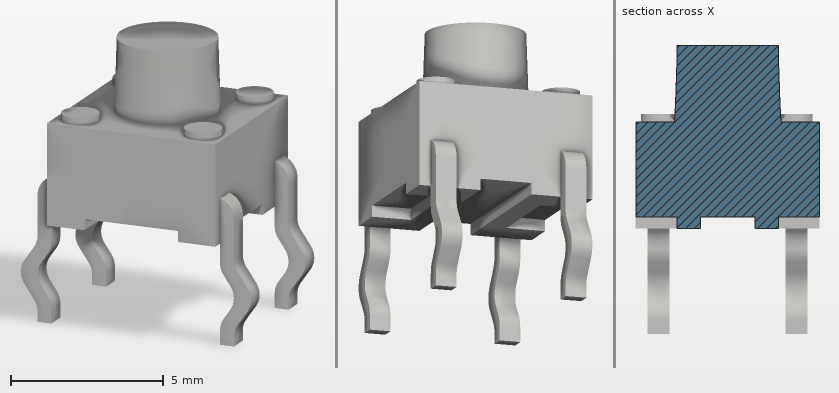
import cadquery as cq
import math


body_side = 6.0
body_height = 3.5
body_bottom = 3.46
body_top = body_bottom + body_height
recess_depth = 0.38
slot_width = 1.78
notch_width = 3.33
foot_side = (body_side - notch_width) / 2

overall_height = 9.45
button_height = overall_height - body_top
button_base_diameter = 3.5
button_top_diameter = 3.33

rivet_diameter = 1.26
rivet_height = 0.25
rivet_x = 2.15
rivet_y = 2.2
rivet_count = 4

leg_pitch = 4.5
leg_width = 0.72
leg_thickness = 0.5
leg_bend_radius = 0.7
leg_top = 5.04
leg_root_depth = 0.945
kink_height = 1.64
kink_half_length = 1.0
kink_offset = 0.7


def make_body():
    """Box whose underside has a slot through along X and a notch in each Y side."""
    body = cq.Workplane("XY", origin=(0, 0, body_bottom)).box(
        body_side, body_side, body_height, centered=(True, True, False)
    )
    underside = cq.Workplane("XY", origin=(0, 0, body_bottom))
    slot = underside.rect(body_side, slot_width).extrude(recess_depth)
    notch_y = (body_side - foot_side) / 2
    notches = (
        underside.pushPoints([(0, -notch_y), (0, notch_y)])
        .rect(notch_width, foot_side)
        .extrude(recess_depth)
    )
    return body.cut(slot).cut(notches)


def make_button():
    """Round button that narrows toward its flat top."""
    return (
        cq.Workplane("XY", origin=(0, 0, body_top))
        .circle(button_base_diameter / 2)
        .workplane(offset=button_height)
        .circle(button_top_diameter / 2)
        .loft(ruled=True)
    )


def make_rivets():
    """Low round heads, one per corner, repeated by quarter turns."""
    rivet = (
        cq.Workplane("XY", origin=(rivet_x, rivet_y, body_top))
        .circle(rivet_diameter / 2)
        .extrude(rivet_height)
    )
    rivets = cq.Workplane("XY")
    for index in range(rivet_count):
        turn = index * 360 / rivet_count
        rivets = rivets.add(rivet.rotate((0, 0, 0), (0, 0, 1), turn))
    return rivets.combine()


def make_leg():
    """Leg on the +X side, centred on Y = 0: elbow into the body, outward kink, straight tip."""
    inner_x = body_side / 2
    outer_x = inner_x + leg_thickness
    root_x = inner_x - leg_root_depth

    slant = math.atan2(kink_offset, kink_half_length)
    mitre_rise = leg_thickness / 2 * math.tan(slant / 2)
    apex_x = inner_x + leg_thickness / 2 + kink_offset
    apex_half_width = leg_thickness / 2 / math.cos(slant)
    outer_reach = kink_half_length + mitre_rise
    inner_reach = kink_half_length - mitre_rise

    outline = [
        (root_x, leg_top),
        (outer_x, leg_top),
        (outer_x, kink_height + outer_reach),
        (apex_x + apex_half_width, kink_height),
        (outer_x, kink_height - outer_reach),
        (outer_x, 0),
        (inner_x, 0),
        (inner_x, kink_height - inner_reach),
        (apex_x - apex_half_width, kink_height),
        (inner_x, kink_height + inner_reach),
        (inner_x, leg_top - leg_thickness),
        (root_x, leg_top - leg_thickness),
    ]
    strip = cq.Workplane("XZ").polyline(outline).close().extrude(leg_width / 2, both=True)

    bends = strip.edges("|Y").edges("not(<Z or <X)")
    return bends.fillet(leg_bend_radius)


def make_legs():
    """Two legs on each X side."""
    right_leg = make_leg()
    left_leg = right_leg.mirror("YZ")
    legs = cq.Workplane("XY")
    for y in (-leg_pitch / 2, leg_pitch / 2):
        legs = legs.add(right_leg.translate((0, y, 0)))
        legs = legs.add(left_leg.translate((0, y, 0)))
    return legs.combine()


result = make_body().union(make_button()).union(make_rivets()).union(make_legs())